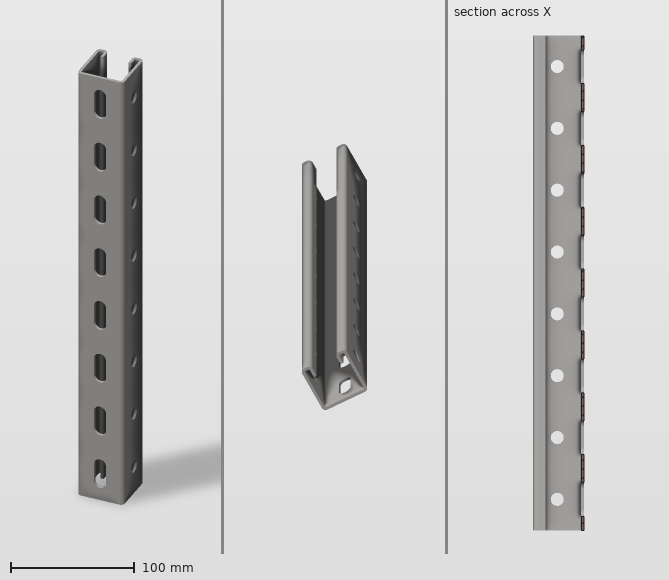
import cadquery as cq

width = 41.0
depth = 41.0
length = 400.0

wall = 2.5
inner_radius = 1.0
opening = 22.0
lip_depth = 10.0

pitch = 50.0
slot_width = 10.5
slot_length = 27.0
hole_diameter = 10.5
hole_offset_y = 1.0

outer_radius = inner_radius + wall
half_width = width / 2
half_opening = opening / 2
back = -depth / 2
front = depth / 2
perforation_count = round(length / pitch)
perforation_heights = [(i - (perforation_count - 1) / 2) * pitch for i in range(perforation_count)]


def mirrored(points):
    """The given section points followed by their mirror images across the YZ plane."""
    return points + [(-x, y) for x, y in reversed(points)]


def round_bends(body, corners, radius):
    """Fillet the long edges that run through the given section corners."""
    for x, y in corners:
        body = body.edges("|Z").edges(cq.selectors.NearestToPointSelector((x, y, 0))).fillet(radius)
    return body


def make_channel():
    """C-shaped strut with inturned lips and rounded bends."""
    outer_bends = [
        (half_width, back),
        (half_width, front),
        (half_opening, front),
    ]
    inner_bends = [
        (half_opening + wall, front - wall),
        (half_width - wall, front - wall),
        (half_width - wall, back + wall),
    ]
    lip_tip = [
        (half_opening, front - lip_depth),
        (half_opening + wall, front - lip_depth),
    ]
    outline = mirrored(outer_bends + lip_tip + inner_bends)
    body = cq.Workplane("XY").polyline(outline).close().extrude(length / 2, both=True)
    body = round_bends(body, mirrored(outer_bends), outer_radius)
    return round_bends(body, mirrored(inner_bends), inner_radius)


def back_slots():
    """Cutters for the row of upright slots in the back wall."""
    return (
        cq.Workplane("XZ", origin=(0, back, 0))
        .pushPoints([(0, z) for z in perforation_heights])
        .slot2D(slot_length, slot_width, 90)
        .extrude(wall, both=True)
    )


def side_holes():
    """Cutters for the row of round holes through both side walls."""
    return (
        cq.Workplane("YZ")
        .pushPoints([(hole_offset_y, z) for z in perforation_heights])
        .circle(hole_diameter / 2)
        .extrude(half_width, both=True)
    )


result = make_channel().cut(back_slots()).cut(side_holes())